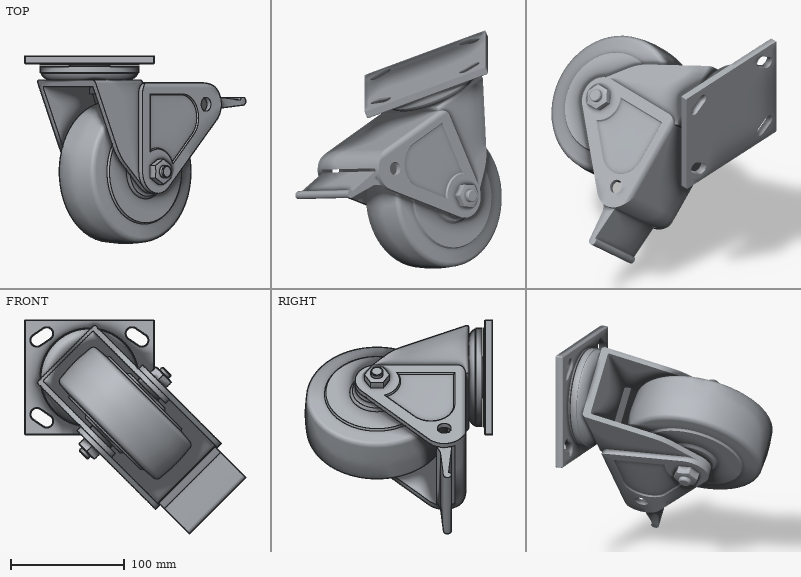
import cadquery as cq
import math

SWING_ANGLE = 45.0
LAY_DOWN_ANGLE = -90.0

PLATE_LENGTH = 114.3
PLATE_WIDTH = 101.5
PLATE_THICKNESS = 6.8
PLATE_CHAMFER = 0.8
SLOT_SPACING_X = 83.9
SLOT_SPACING_Y = 71.2
SLOT_WIDTH = 10.5
SLOT_TRAVEL = 10.5
SLOT_ANGLE = 34.0
SEAL_RADIUS = 43.7
SEAL_BOTTOM = -8.0
NECK_RADIUS = 18.1
CUP_RADIUS = 43.5
CUP_TOP = -9.2
CUP_RIM_BOTTOM = -14.6
CUP_DOME_TOP = -15.5
CUP_DOME_RADIUS = 42.7
CUP_FLAT_RADIUS = 34.0

AXLE_X = 44.5
AXLE_Z = -101.8
AXLE_RADIUS = 5.5
AXLE_HALF_LENGTH = 52.3
AXLE_CHAMFER = 0.8
TYRE_RADIUS = 63.5
TREAD_EDGE_RADIUS = 62.2
TREAD_HALF_WIDTH = 18.1
TYRE_CORNER_RADIUS = 4.5
CORE_RADIUS = 46.2
CORE_FACE_RADIUS = 45.0
CORE_BASE_HALF_WIDTH = 23.6
CORE_HALF_WIDTH = 25.5
BOSS_RADIUS = 24.0
BOSS_HALF_WIDTH = 27.9
BOSS_CHAMFER = BOSS_HALF_WIDTH - CORE_HALF_WIDTH
HUB_END_RADIUS = 12.5

FORK_TOP = -20.9
FORK_TOP_THICKNESS = 6.0
FORK_HALF_LENGTH = 29.7
FORK_HALF_WIDTH = 36.0
FORK_SIDE_THICKNESS = 4.9
FORK_INNER_HALF_WIDTH = FORK_HALF_WIDTH - FORK_SIDE_THICKNESS
FORK_BEND_RADIUS = 3.1
FORK_INNER_BEND_RADIUS = 1.4
FORK_UPPER_LEAN = 25.2
FORK_LOWER_LEAN = 47.0
FORK_KNEE_RADIUS = 49.7

HOUSING_FRONT_X = 25.4
HOUSING_HALF_WIDTH = 41.0
HOUSING_INNER_HALF_WIDTH = FORK_HALF_WIDTH
HOUSING_FRONT_RADIUS = 8.2
HOUSING_BEND_RADIUS = 4.7
HOUSING_INNER_BEND_RADIUS = 1.0
WEB_FRONT_X = 31.6
WEB_THICKNESS = 9.8
PIVOT_X = 104.4
PIVOT_Z = -42.5
PIVOT_HOLE_RADIUS = 6.0
END_RADIUS = AXLE_X - HOUSING_FRONT_X
RECESS_FRONT_X = 35.0
RECESS_TOP_Z = -33.2
RECESS_ROUND_X = 74.1
RECESS_ROUND_RADIUS = 21.0
RECESS_EDGE_SLOPE = 45.0
RECESS_AXLE_CLEARANCE = 19.9
RECESS_DEPTH = 1.4
RECESS_DRAFT = 1.0

PEDAL_HALF_WIDTH = 35.1
PEDAL_HEEL_X = 121.5
PEDAL_HEEL_TOP_Z = -35.9
PEDAL_HEEL_BOTTOM_Z = -49.4
PEDAL_KINK_X = 128.5
PEDAL_KINK_Z = -45.8
PEDAL_TIP_X = 160.0
PEDAL_TIP_RADIUS = 3.5
PEDAL_TIP_Z = -39.8
PEDAL_TREAD_DROP = 3.1

NUT_ACROSS_FLATS = 19.3
NUT_THICKNESS = 7.5
NUT_CHAMFER_HEIGHT = 0.8
NUT_FACE_RADIUS = 7.2


def polar(center, radius, degrees):
    """Point at a distance and a direction from a centre."""
    angle = math.radians(degrees)
    return (center[0] + radius * math.cos(angle), center[1] + radius * math.sin(angle))


AXLE = (AXLE_X, AXLE_Z)
PIVOT = (PIVOT_X, PIVOT_Z)
HOUSING_TOP = PIVOT_Z + END_RADIUS
CLEARING_LENGTH = 2 * PIVOT_X
CLEARING_DEPTH = 2 * (HOUSING_TOP - AXLE_Z)


def make_plate():
    """Slotted plate with the seal, neck and bearing cup of the swivel on its underside."""
    plate = cq.Workplane("XY").rect(PLATE_LENGTH, PLATE_WIDTH).extrude(-PLATE_THICKNESS)
    plate = plate.edges("|Z").chamfer(PLATE_CHAMFER)
    for side_x in (-1, 1):
        for side_y in (-1, 1):
            slot = (
                cq.Workplane("XY")
                .center(side_x * SLOT_SPACING_X / 2, side_y * SLOT_SPACING_Y / 2)
                .slot2D(SLOT_TRAVEL + SLOT_WIDTH, SLOT_WIDTH, -side_x * side_y * SLOT_ANGLE)
                .extrude(-PLATE_THICKNESS)
            )
            plate = plate.cut(slot)
    plate = plate.faces("<Z").edges().chamfer(PLATE_CHAMFER)

    dome_drop = CUP_DOME_TOP - FORK_TOP
    dome_width = CUP_DOME_RADIUS - CUP_FLAT_RADIUS
    dome_arc_radius = (dome_width**2 + dome_drop**2) / (2 * dome_drop)
    dome_arc_center = (CUP_FLAT_RADIUS, FORK_TOP + dome_arc_radius)
    dome_turn = math.degrees(math.asin(dome_width / dome_arc_radius))
    dome_middle = polar(dome_arc_center, dome_arc_radius, dome_turn / 2 - 90)
    swivel = (
        cq.Workplane("XZ")
        .moveTo(0, -PLATE_THICKNESS)
        .lineTo(SEAL_RADIUS, -PLATE_THICKNESS)
        .lineTo(SEAL_RADIUS, SEAL_BOTTOM)
        .lineTo(NECK_RADIUS, SEAL_BOTTOM)
        .lineTo(NECK_RADIUS, CUP_TOP)
        .lineTo(CUP_RADIUS, CUP_TOP)
        .lineTo(CUP_RADIUS, CUP_RIM_BOTTOM)
        .lineTo(CUP_DOME_RADIUS, CUP_RIM_BOTTOM)
        .lineTo(CUP_DOME_RADIUS, CUP_DOME_TOP)
        .threePointArc(dome_middle, (CUP_FLAT_RADIUS, FORK_TOP))
        .lineTo(0, FORK_TOP)
        .close()
        .revolve(360, (0, 0), (0, 1))
    )
    return plate.union(swivel)


def axle_cylinder(radius, half_length):
    """Cylinder along the axle, centred between the fork sides."""
    return cq.Workplane("XZ").center(*AXLE).circle(radius).extrude(half_length, both=True)


def make_fork():
    """Inverted U whose tapering sides lean back to rounded ends about the axle."""
    lower_touch = polar(AXLE, END_RADIUS, 180 + FORK_LOWER_LEAN)
    upper_slope = math.tan(math.radians(FORK_UPPER_LEAN))
    lower_slope = math.tan(math.radians(FORK_LOWER_LEAN))
    corner_drop = (lower_touch[0] + FORK_HALF_LENGTH - (FORK_TOP - lower_touch[1]) * lower_slope) / (
        upper_slope - lower_slope
    )
    corner = (-FORK_HALF_LENGTH + corner_drop * upper_slope, FORK_TOP - corner_drop)
    half_turn = math.radians(FORK_LOWER_LEAN - FORK_UPPER_LEAN) / 2
    knee_setback = FORK_KNEE_RADIUS * math.tan(half_turn)
    knee_start = polar(corner, knee_setback, 90 + FORK_UPPER_LEAN)
    knee_end = polar(corner, knee_setback, FORK_LOWER_LEAN - 90)
    knee_center = polar(knee_start, FORK_KNEE_RADIUS, FORK_UPPER_LEAN)
    knee_middle = polar(knee_center, FORK_KNEE_RADIUS, 180 + (FORK_UPPER_LEAN + FORK_LOWER_LEAN) / 2)

    rear = (FORK_HALF_LENGTH, FORK_TOP)
    to_rear = (rear[0] - AXLE_X, rear[1] - AXLE_Z)
    rear_touch_angle = math.degrees(
        math.atan2(to_rear[1], to_rear[0]) - math.acos(END_RADIUS / math.hypot(*to_rear))
    )

    fork = (
        cq.Workplane("XZ")
        .moveTo(-FORK_HALF_LENGTH, FORK_TOP)
        .lineTo(*rear)
        .lineTo(*polar(AXLE, END_RADIUS, rear_touch_angle))
        .threePointArc(
            polar(AXLE, END_RADIUS, (rear_touch_angle + FORK_LOWER_LEAN - 180) / 2),
            lower_touch,
        )
        .lineTo(*knee_end)
        .threePointArc(knee_middle, knee_start)
        .close()
        .extrude(FORK_HALF_WIDTH, both=True)
        .edges("|X and >Z")
        .fillet(FORK_BEND_RADIUS)
    )
    opening = (
        cq.Workplane("XY", origin=(AXLE_X, 0, FORK_TOP - FORK_TOP_THICKNESS))
        .rect(CLEARING_LENGTH, 2 * FORK_INNER_HALF_WIDTH)
        .extrude(-CLEARING_DEPTH)
        .edges("|X and >Z")
        .fillet(FORK_INNER_BEND_RADIUS)
    )
    return fork.cut(opening).cut(axle_cylinder(AXLE_RADIUS, FORK_HALF_WIDTH))


def make_housing_recess():
    """Shallow drafted recess in the +Y cheek of the brake housing."""
    round_center = (RECESS_ROUND_X, RECESS_TOP_Z - RECESS_ROUND_RADIUS)
    round_end_angle = RECESS_EDGE_SLOPE - 90
    round_end = polar(round_center, RECESS_ROUND_RADIUS, round_end_angle)
    slope = math.radians(RECESS_EDGE_SLOPE)
    edge_offset = (round_end[0] - AXLE_X) * math.sin(slope) - (round_end[1] - AXLE_Z) * math.cos(slope)
    tail_angle = RECESS_EDGE_SLOPE - math.degrees(math.asin(edge_offset / RECESS_AXLE_CLEARANCE))
    front_angle = math.degrees(math.acos((RECESS_FRONT_X - AXLE_X) / RECESS_AXLE_CLEARANCE))
    draft_angle = math.degrees(math.atan(RECESS_DRAFT / RECESS_DEPTH))
    return (
        cq.Workplane("XZ", origin=(0, HOUSING_HALF_WIDTH, 0))
        .moveTo(RECESS_FRONT_X, RECESS_TOP_Z)
        .lineTo(RECESS_ROUND_X, RECESS_TOP_Z)
        .threePointArc(polar(round_center, RECESS_ROUND_RADIUS, (90 + round_end_angle) / 2), round_end)
        .lineTo(*polar(AXLE, RECESS_AXLE_CLEARANCE, tail_angle))
        .threePointArc(
            polar(AXLE, RECESS_AXLE_CLEARANCE, (tail_angle + front_angle) / 2),
            polar(AXLE, RECESS_AXLE_CLEARANCE, front_angle),
        )
        .close()
        .extrude(RECESS_DEPTH, taper=draft_angle)
    )


def make_housing(fork):
    """Brake housing: two cheeks outside the fork, joined by a web behind the fork top."""
    belt_angle = math.degrees(math.atan2(PIVOT_Z - AXLE_Z, PIVOT_X - AXLE_X)) - 90
    housing = (
        cq.Workplane("XZ")
        .moveTo(HOUSING_FRONT_X, HOUSING_TOP)
        .lineTo(PIVOT_X, HOUSING_TOP)
        .threePointArc(
            polar(PIVOT, END_RADIUS, (90 + belt_angle) / 2),
            polar(PIVOT, END_RADIUS, belt_angle),
        )
        .lineTo(*polar(AXLE, END_RADIUS, belt_angle))
        .threePointArc(polar(AXLE, END_RADIUS, (belt_angle - 180) / 2), (HOUSING_FRONT_X, AXLE_Z))
        .close()
        .extrude(HOUSING_HALF_WIDTH, both=True)
    )
    housing = housing.edges("|Y").edges("<X and >Z").fillet(HOUSING_FRONT_RADIUS)
    bent_sheet = (
        cq.Workplane("XY", origin=(AXLE_X, 0, HOUSING_TOP))
        .rect(CLEARING_LENGTH, 2 * HOUSING_HALF_WIDTH)
        .extrude(-CLEARING_DEPTH)
        .edges("|X and >Z")
        .fillet(HOUSING_BEND_RADIUS)
    )
    housing = housing.intersect(bent_sheet)

    cavity = (
        cq.Workplane("XY", origin=(AXLE_X, 0, HOUSING_TOP - WEB_THICKNESS))
        .rect(CLEARING_LENGTH, 2 * HOUSING_INNER_HALF_WIDTH)
        .extrude(-CLEARING_DEPTH)
        .edges("|X and >Z")
        .fillet(HOUSING_INNER_BEND_RADIUS)
    )
    fork_opening = (
        cq.Workplane("XY")
        .rect(2 * WEB_FRONT_X, 2 * HOUSING_INNER_HALF_WIDTH)
        .extrude(-CLEARING_DEPTH)
    )
    pivot_hole = (
        cq.Workplane("XZ")
        .center(*PIVOT)
        .circle(PIVOT_HOLE_RADIUS)
        .extrude(HOUSING_HALF_WIDTH, both=True)
    )
    recess = make_housing_recess()
    housing = housing.cut(cavity).cut(fork_opening).cut(pivot_hole)
    housing = housing.cut(recess).cut(recess.mirror("XZ"))
    return housing.cut(fork).cut(axle_cylinder(AXLE_RADIUS, HOUSING_HALF_WIDTH))


def make_pedal():
    """Wedge-shaped brake pedal with a round bead along its tip."""
    tip = (PEDAL_TIP_X - PEDAL_TIP_RADIUS, PEDAL_TIP_Z)
    wedge = (
        cq.Workplane("XZ")
        .polyline(
            [
                (PEDAL_HEEL_X, PEDAL_HEEL_TOP_Z),
                (tip[0], PEDAL_HEEL_TOP_Z - PEDAL_TREAD_DROP),
                (tip[0], PEDAL_TIP_Z - PEDAL_TIP_RADIUS),
                (PEDAL_KINK_X, PEDAL_KINK_Z),
                (PEDAL_HEEL_X, PEDAL_HEEL_BOTTOM_Z),
            ]
        )
        .close()
        .extrude(PEDAL_HALF_WIDTH, both=True)
    )
    bead = cq.Workplane("XZ").center(*tip).circle(PEDAL_TIP_RADIUS).extrude(PEDAL_HALF_WIDTH, both=True)
    return wedge.union(bead)


def make_wheel():
    """Crowned wheel with raised core faces, conical bosses and hub ends, bored for the axle."""
    corner_center = (TREAD_EDGE_RADIUS - TYRE_CORNER_RADIUS, TREAD_HALF_WIDTH)
    corner_middle = polar(corner_center, TYRE_CORNER_RADIUS, 45)
    side = (corner_center[0], TREAD_HALF_WIDTH + TYRE_CORNER_RADIUS)
    face_points = [
        (CORE_RADIUS, CORE_BASE_HALF_WIDTH),
        (CORE_FACE_RADIUS, CORE_HALF_WIDTH),
        (BOSS_RADIUS, CORE_HALF_WIDTH),
        (BOSS_RADIUS - BOSS_CHAMFER, BOSS_HALF_WIDTH),
        (HUB_END_RADIUS, BOSS_HALF_WIDTH),
        (HUB_END_RADIUS, FORK_INNER_HALF_WIDTH),
        (AXLE_RADIUS, FORK_INNER_HALF_WIDTH),
    ]

    def opposite(point):
        return (point[0], -point[1])

    profile = (
        cq.Workplane("XY", origin=(AXLE_X, 0, AXLE_Z))
        .moveTo(TREAD_EDGE_RADIUS, -TREAD_HALF_WIDTH)
        .threePointArc((TYRE_RADIUS, 0), (TREAD_EDGE_RADIUS, TREAD_HALF_WIDTH))
        .threePointArc(corner_middle, side)
    )
    for point in face_points:
        profile = profile.lineTo(*point)
    for point in reversed(face_points):
        profile = profile.lineTo(*opposite(point))
    return (
        profile.lineTo(*opposite(side))
        .threePointArc(opposite(corner_middle), (TREAD_EDGE_RADIUS, -TREAD_HALF_WIDTH))
        .close()
        .revolve(360, (0, 0), (0, 1))
    )


def make_axle():
    """Plain axle with chamfered ends."""
    return axle_cylinder(AXLE_RADIUS, AXLE_HALF_LENGTH).edges().chamfer(AXLE_CHAMFER)


def make_nut(side):
    """Hexagon nut seated on the housing cheek at the given side (+1 or -1 along Y)."""
    corner_radius = NUT_ACROSS_FLATS / math.sqrt(3)
    seat = HOUSING_HALF_WIDTH
    top = seat + NUT_THICKNESS
    hexagon = (
        cq.Workplane("XY", origin=(AXLE_X, 0, AXLE_Z))
        .polygon(6, 2 * corner_radius)
        .extrude(NUT_THICKNESS)
        .rotate((AXLE_X, 0, AXLE_Z), (AXLE_X, 0, AXLE_Z + 2), 90)
        .rotate((AXLE_X, 0, AXLE_Z), (AXLE_X + 2, 0, AXLE_Z), -90)
        .translate((0, seat, 0))
    )
    turned_blank = (
        cq.Workplane("XY", origin=(AXLE_X, 0, AXLE_Z))
        .polyline(
            [
                (AXLE_RADIUS, seat),
                (corner_radius, seat),
                (corner_radius, top - NUT_CHAMFER_HEIGHT),
                (NUT_FACE_RADIUS, top),
                (AXLE_RADIUS, top),
            ]
        )
        .close()
        .revolve(360, (0, 0), (0, 1))
    )
    nut = hexagon.intersect(turned_blank)
    return nut if side > 0 else nut.mirror("XZ")


def place(body, swing):
    """Swing a body about the swivel axis and lay it down with the plate facing +Y."""
    swung = body.rotate((0, 0, 0), (0, 0, 1), swing)
    return swung.rotate((0, 0, 0), (1, 0, 0), LAY_DOWN_ANGLE).val()


plate = make_plate()
fork = make_fork()
housing = make_housing(fork)
pedal = make_pedal()
wheel = make_wheel()
axle = make_axle()
nuts = [make_nut(side) for side in (1, -1)]

caster_bodies = [fork, housing, pedal, wheel, axle, *nuts]
result = cq.Compound.makeCompound(
    [place(plate, 0)] + [place(body, SWING_ANGLE) for body in caster_bodies]
)